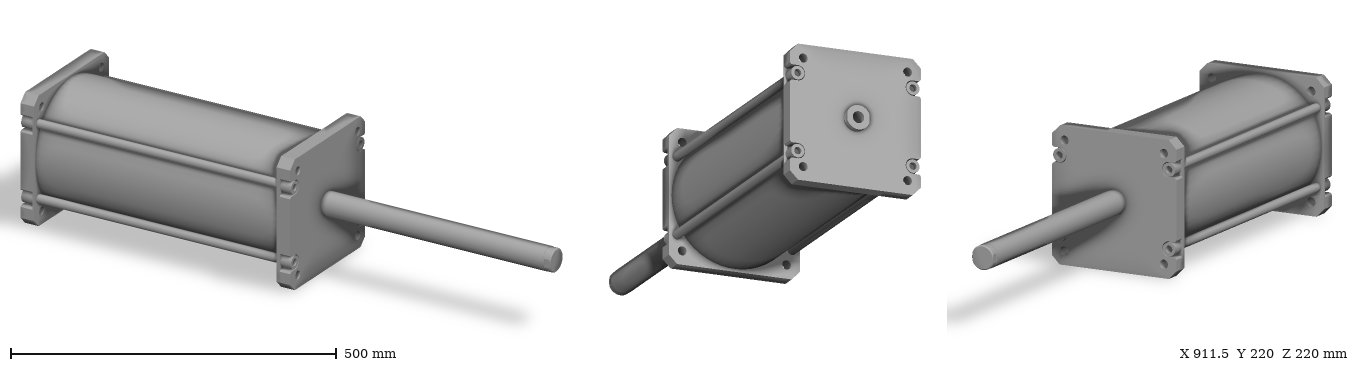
import cadquery as cq

LENGTH = 911.5
REAR_CAP_X = 12.0
CAP_THICKNESS = 25.0
BARREL_LENGTH = 437.5
BARREL_X = REAR_CAP_X + CAP_THICKNESS
FRONT_CAP_X = BARREL_X + BARREL_LENGTH
FRONT_CAP_END_X = FRONT_CAP_X + CAP_THICKNESS

CAP_SIDE = 220.0
CAP_CHAMFER = 14.0
MOUNT_HOLE_OFFSET = 87.5
MOUNT_HOLE_DIAMETER = 15.0

BARREL_DIAMETER = 211.0

TIE_ROD_DIAMETER = 15.0
TIE_ROD_Y = 97.0
TIE_ROD_Z = 63.0
HEAD_DIAMETER = 22.0
SOCKET_DIAMETER = 12.0
SOCKET_DEPTH = 9.0
POCKET_WIDTH = 25.0
REAR_POCKET_DEPTH = 22.0
FRONT_POCKET_DEPTH = 19.0
FRONT_POCKET_X = FRONT_CAP_END_X - FRONT_POCKET_DEPTH
MOUTH_CHAMFER = 3.0

ROD_DIAMETER = 40.0
END_DIAMETER = 39.0
REAR_END_LENGTH = REAR_CAP_X
FRONT_END_LENGTH = 14.0
FLATS_WIDTH = 36.5
REAR_FLATS_LENGTH = 9.0
FRONT_FLATS_LENGTH = 11.0
ROD_CHAMFER = 2.0
ROD_HOLE_DIAMETER = 19.0
ROD_HOLE_DEPTH = 36.5
DRILL_POINT_DEPTH = 5.5

TIE_ROD_PLACES = [(y, z) for y in (-TIE_ROD_Y, TIE_ROD_Y) for z in (-TIE_ROD_Z, TIE_ROD_Z)]
MOUNT_HOLE_PLACES = [
    (y, z)
    for y in (-MOUNT_HOLE_OFFSET, MOUNT_HOLE_OFFSET)
    for z in (-MOUNT_HOLE_OFFSET, MOUNT_HOLE_OFFSET)
]


def sketch_at(x):
    """Workplane across the rod axis at x: its two axes are Y and Z, and it faces +X."""
    return cq.Workplane("YZ", origin=(x, 0, 0))


def cylinders(x, length, diameter, places):
    return sketch_at(x).pushPoints(places).circle(diameter / 2).extrude(length)


def make_head_pocket(x, depth, side, z):
    """Round-ended pocket running out through one Y side (+1 or -1), with a chamfered mouth."""
    half_side = CAP_SIDE / 2
    half_width = POCKET_WIDTH / 2
    half_mouth = half_width + MOUTH_CHAMFER
    throat_y = half_side - MOUTH_CHAMFER
    return (
        sketch_at(x)
        .moveTo(side * TIE_ROD_Y, z - half_width)
        .lineTo(side * throat_y, z - half_width)
        .lineTo(side * half_side, z - half_mouth)
        .lineTo(side * half_side, z + half_mouth)
        .lineTo(side * throat_y, z + half_width)
        .lineTo(side * TIE_ROD_Y, z + half_width)
        .threePointArc((side * (TIE_ROD_Y - half_width), z), (side * TIE_ROD_Y, z - half_width))
        .close()
        .extrude(depth)
    )


def make_cap(x, pocket_x, pocket_depth):
    """Square end cap with chamfered corners, mounting holes, rod holes and tie-rod head pockets."""
    cap = sketch_at(x).rect(CAP_SIDE, CAP_SIDE).extrude(CAP_THICKNESS)
    cap = cap.edges("|X").chamfer(CAP_CHAMFER)
    cap = cap.cut(cylinders(x, CAP_THICKNESS, MOUNT_HOLE_DIAMETER, MOUNT_HOLE_PLACES))
    cap = cap.cut(cylinders(x, CAP_THICKNESS, TIE_ROD_DIAMETER, TIE_ROD_PLACES))
    for side in (-1, 1):
        for z in (-TIE_ROD_Z, TIE_ROD_Z):
            cap = cap.cut(make_head_pocket(pocket_x, pocket_depth, side, z))
    return cap.cut(cylinders(x, CAP_THICKNESS, ROD_DIAMETER, [(0, 0)]))


def make_barrel():
    """Round barrel bored to fit the piston rod."""
    return (
        sketch_at(BARREL_X)
        .circle(BARREL_DIAMETER / 2)
        .circle(ROD_DIAMETER / 2)
        .extrude(BARREL_LENGTH)
    )


def make_tie_rod(place):
    """Tie rod with a round socketed head flush with the outer face of each cap."""
    tie_rod = cylinders(REAR_CAP_X, FRONT_CAP_END_X - REAR_CAP_X, TIE_ROD_DIAMETER, [place])
    tie_rod = tie_rod.union(cylinders(REAR_CAP_X, REAR_POCKET_DEPTH, HEAD_DIAMETER, [place]))
    tie_rod = tie_rod.union(cylinders(FRONT_POCKET_X, FRONT_POCKET_DEPTH, HEAD_DIAMETER, [place]))
    for socket_x in (REAR_CAP_X, FRONT_CAP_END_X - SOCKET_DEPTH):
        tie_rod = tie_rod.cut(cylinders(socket_x, SOCKET_DEPTH, SOCKET_DIAMETER, [place]))
    return tie_rod


def cut_flats(rod, x, length):
    """Cut a pair of wrench flats facing +Y and -Y."""
    between_flats = sketch_at(x).rect(FLATS_WIDTH, ROD_DIAMETER).extrude(length)
    around = sketch_at(x).rect(2 * ROD_DIAMETER, 2 * ROD_DIAMETER).extrude(length)
    return rod.cut(around.cut(between_flats))


def make_piston_rod():
    """Rod through both caps, with turned-down, flatted ends and a drilled hole in the short end."""
    full_length = LENGTH - REAR_END_LENGTH - FRONT_END_LENGTH
    rod = cylinders(0, LENGTH, END_DIAMETER, [(0, 0)])
    rod = rod.union(cylinders(REAR_END_LENGTH, full_length, ROD_DIAMETER, [(0, 0)]))
    rod = rod.faces(">X").chamfer(ROD_CHAMFER)
    rod = cut_flats(rod, 0, REAR_FLATS_LENGTH)
    rod = cut_flats(rod, LENGTH - FRONT_FLATS_LENGTH, FRONT_FLATS_LENGTH)
    hole_profile = [
        (0, 0),
        (0, ROD_HOLE_DIAMETER / 2),
        (ROD_HOLE_DEPTH, ROD_HOLE_DIAMETER / 2),
        (ROD_HOLE_DEPTH + DRILL_POINT_DEPTH, 0),
    ]
    hole = cq.Workplane("XY").polyline(hole_profile).close().revolve(360, (0, 0, 0), (1, 0, 0))
    return rod.cut(hole)


rear_cap = make_cap(REAR_CAP_X, REAR_CAP_X, REAR_POCKET_DEPTH)
front_cap = make_cap(FRONT_CAP_X, FRONT_POCKET_X, FRONT_POCKET_DEPTH)
barrel = make_barrel()
piston_rod = make_piston_rod()
tie_rods = [make_tie_rod(place) for place in TIE_ROD_PLACES]

result = cq.Compound.makeCompound(
    [
        rear_cap.val(),
        front_cap.val(),
        barrel.val(),
        piston_rod.val(),
        *[tie_rod.val() for tie_rod in tie_rods],
    ]
)